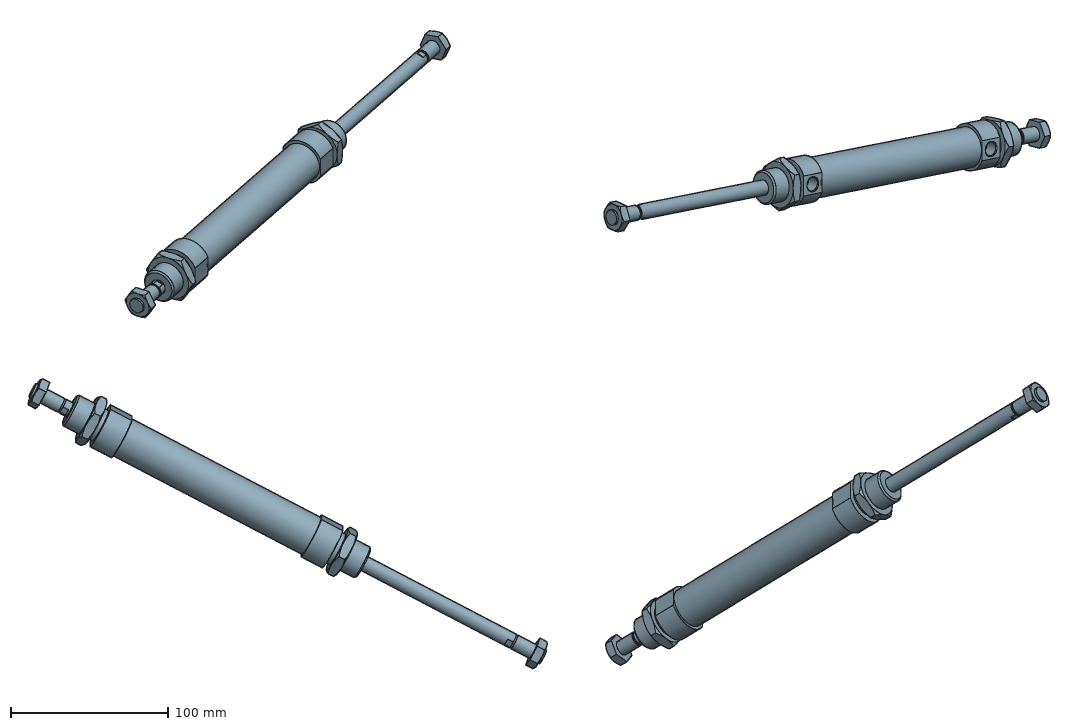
import cadquery as cq
import math


rod_length = 369.0
rod_dia = 10.0
groove_dia = 9.2
groove_width = 1.0
thread_length = 20.5
flat_length = 4.0
flat_width = 9.0
flat_angle = 70.0

front_neck_y = -157.5
rear_neck_y = 54.5
neck_dia = 22.0
neck_length = 22.0
neck_chamfer = 1.0
tube_dia = 26.5
head_dia = 30.5
head_length = 15.5
head_flat_width = 27.5
port_dia = 9.0
port_chamfer = 0.55

rod_nut_width = 17.0
rod_nut_thickness = 6.0
rod_nut_inset = 1.5
neck_nut_width = 30.0
neck_nut_thickness = 6.5
neck_nut_gap = 3.5
nut_chamfer_angle = 30.0
front_rod_nut_turn = 0.0
rear_rod_nut_turn = 8.0
front_neck_nut_turn = 0.0
rear_neck_nut_turn = 30.0

HEX_SIDES = 6

rod_end_y = rod_length / 2
front_head_y = front_neck_y + neck_length
rear_head_y = rear_neck_y - neck_length


def cylinder(dia, y_start, y_end):
    """Cylinder on the Y axis between two Y positions."""
    return cq.Workplane("XZ", origin=(0, y_start, 0)).circle(dia / 2).extrude(y_start - y_end)


def turned_about_y(body, angle):
    """Turn from the X axis toward the Z axis."""
    return body.rotate((0, 0, 0), (0, -1, 0), angle)


def make_rod():
    rod = cylinder(rod_dia, -rod_end_y, rod_end_y)
    for end in (-1, 1):
        groove_outer_y = end * (rod_end_y - thread_length)
        groove_inner_y = groove_outer_y - end * groove_width
        groove = cylinder(rod_dia, groove_outer_y, groove_inner_y).cut(
            cylinder(groove_dia, groove_outer_y, groove_inner_y)
        )
        rod = rod.cut(groove)

        flat_y = groove_inner_y - end * flat_length / 2
        for side in (-1, 1):
            cutter = cq.Workplane("XY").box(rod_dia, flat_length, rod_dia)
            cutter = cutter.translate((side * (flat_width + rod_dia) / 2, flat_y, 0))
            rod = rod.cut(turned_about_y(cutter, flat_angle))
    return rod


def cut_head_flats(housing, head_middle_y):
    """Flats on the -X and +X sides of a head."""
    flat_depth = (head_dia - head_flat_width) / 2
    flat_middle_x = (head_dia + head_flat_width) / 4
    for side in (-1, 1):
        cutter = cq.Workplane("XY").box(flat_depth, head_length, head_dia)
        housing = housing.cut(cutter.translate((side * flat_middle_x, head_middle_y, 0)))
    return housing


def cut_port(housing, head_middle_y):
    """Chamfered port from the -X flat of a head down to the rod bore."""
    face_x = -head_flat_width / 2
    port_radius = port_dia / 2
    profile = [
        (face_x, 0),
        (face_x, port_radius + port_chamfer),
        (face_x + port_chamfer, port_radius),
        (0, port_radius),
        (0, 0),
    ]
    port = cq.Workplane("XY").polyline(profile).close().revolve(360, (0, 0, 0), (1, 0, 0))
    return housing.cut(port.translate((0, head_middle_y, 0)))


def make_housing():
    front_neck = cylinder(neck_dia, front_neck_y, front_head_y).faces("<Y").chamfer(neck_chamfer)
    rear_neck = cylinder(neck_dia, rear_head_y, rear_neck_y).faces(">Y").chamfer(neck_chamfer)
    housing = cylinder(tube_dia, front_head_y, rear_head_y).union(front_neck).union(rear_neck)
    for outer_y, inward in ((front_head_y, 1), (rear_head_y, -1)):
        inner_y = outer_y + inward * head_length
        head_middle_y = (outer_y + inner_y) / 2
        housing = housing.union(cylinder(head_dia, outer_y, inner_y))
        housing = cut_head_flats(housing, head_middle_y)
        housing = cut_port(housing, head_middle_y)
    return housing.cut(cylinder(rod_dia, front_neck_y, rear_neck_y))


def make_nut(width, thickness, bore_dia, front_y, turn, chamfered_faces):
    """Hexagon nut with its -Y face at front_y; chamfered_faces lists "front" (-Y), "rear" (+Y) or both."""
    flat_radius = width / 2
    corner_radius = flat_radius / math.cos(math.pi / HEX_SIDES)
    chamfer_drop = (corner_radius - flat_radius) * math.tan(math.radians(nut_chamfer_angle))

    nut = cq.Workplane("XZ").polygon(HEX_SIDES, 2 * corner_radius).circle(bore_dia / 2).extrude(-thickness)
    chamfers = {
        "front": (0, chamfer_drop),
        "rear": (thickness, thickness - chamfer_drop),
    }
    for face in chamfered_faces:
        face_y, corner_y = chamfers[face]
        corner_profile = [
            (flat_radius, face_y),
            (corner_radius, corner_y),
            (corner_radius + chamfer_drop, corner_y),
            (corner_radius + chamfer_drop, face_y),
        ]
        corner_cut = cq.Workplane("XY").polyline(corner_profile).close().revolve(360, (0, 0, 0), (0, 1, 0))
        nut = nut.cut(corner_cut)
    return turned_about_y(nut, turn).translate((0, front_y, 0))


def make_rod_nut(front_y, turn, outer_face):
    """Nut on a rod end, chamfered only on the face toward that end."""
    return make_nut(rod_nut_width, rod_nut_thickness, rod_dia, front_y, turn, [outer_face])


def make_neck_nut(front_y, turn):
    return make_nut(neck_nut_width, neck_nut_thickness, neck_dia, front_y, turn, ["front", "rear"])


rod = make_rod()
housing = make_housing()
rod_nuts = [
    make_rod_nut(rod_nut_inset - rod_end_y, front_rod_nut_turn, "front"),
    make_rod_nut(rod_end_y - rod_nut_inset - rod_nut_thickness, rear_rod_nut_turn, "rear"),
]
neck_nuts = [
    make_neck_nut(front_head_y - neck_nut_gap - neck_nut_thickness, front_neck_nut_turn),
    make_neck_nut(rear_head_y + neck_nut_gap, rear_neck_nut_turn),
]
result = cq.Compound.makeCompound(
    [rod.val(), housing.val()] + [nut.val() for nut in rod_nuts + neck_nuts]
)